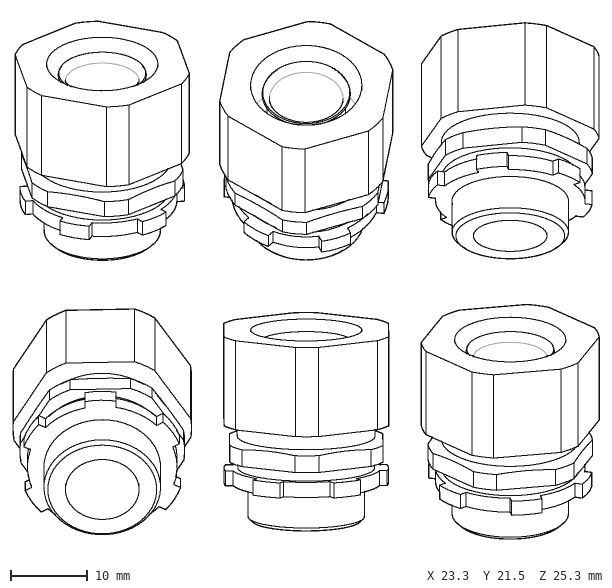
import cadquery as cq
import math


total_height = 25.3
crown_bottom = 5.0
crown_top = 7.0
nut_bottom = 8.5
nut_top = 11.2
head_bottom = 13.45

thread_radius = 15.2 / 2
thread_chamfer = 0.5
collar_radius = 17.85 / 2
neck_radius = 18.0 / 2

head_across_flats = 21.5
head_corner_radius = 11.647
nut_across_flats = 20.0
nut_corner_radius = 10.75
nut_bevel_angle = 15.0

crown_root_radius = 9.75
crown_tooth_radius = 10.73
crown_tooth_width = 4.05
crown_tooth_count = 6
crown_first_tooth_angle = 30.0

bore_radius = 9.6 / 2
sleeve_wall = 0.3
flare_radius = 1.18
flare_angle = 75.0
lip_depth = 1.35
cavity_radius = 14.5 / 2
cavity_depth = 8.0
sleeve_outer_radius = bore_radius + sleeve_wall


def cylinder(radius, bottom, top):
    """Cylinder on the Z axis between two heights."""
    return cq.Workplane("XY").workplane(offset=bottom).circle(radius).extrude(top - bottom)


def rounded_hexagon(across_flats, corner_radius, bottom, top):
    """Hexagonal prism with flats facing +Y and -Y and its corners turned to a cylinder."""
    across_corners = across_flats / math.cos(math.radians(30))
    prism = cq.Workplane("XY").workplane(offset=bottom).polygon(6, across_corners).extrude(top - bottom)
    return prism.intersect(cylinder(corner_radius, bottom, top))


def threaded_end():
    """Plain thread cylinder with a chamfered entry edge."""
    return cylinder(thread_radius, 0, crown_bottom).faces("<Z").edges().chamfer(thread_chamfer)


def crown():
    """Ring with evenly spaced, parallel-sided teeth."""
    ring = cylinder(crown_root_radius, crown_bottom, crown_top)
    teeth_limit = cylinder(crown_tooth_radius, crown_bottom, crown_top)
    for index in range(crown_tooth_count):
        angle = crown_first_tooth_angle + index * 360 / crown_tooth_count
        tooth = (
            cq.Workplane("XY")
            .workplane(offset=crown_bottom)
            .rect(2 * crown_tooth_radius, crown_tooth_width)
            .extrude(crown_top - crown_bottom)
            .rotate((0, 0, 0), (0, 0, 1), angle)
        )
        ring = ring.union(tooth.intersect(teeth_limit))
    return ring


def nut():
    """Thin hexagon whose top is turned down by a shallow cone starting at the neck."""
    bevel_drop = (nut_corner_radius - neck_radius) * math.tan(math.radians(nut_bevel_angle))
    bevel_limit = (
        cq.Workplane("XZ")
        .moveTo(0, nut_bottom)
        .lineTo(nut_corner_radius, nut_bottom)
        .lineTo(nut_corner_radius, nut_top - bevel_drop)
        .lineTo(neck_radius, nut_top)
        .lineTo(0, nut_top)
        .close()
        .revolve(360, (0, 0, 0), (0, 1, 0))
    )
    return rounded_hexagon(nut_across_flats, nut_corner_radius, nut_bottom, nut_top).intersect(bevel_limit)


def bore_and_cavity():
    """Through bore joined to the head cavity, leaving a sleeve that flares outward at its lip."""
    flare_center_radius = bore_radius + flare_radius
    flare_start = total_height - lip_depth - flare_radius * math.sin(math.radians(flare_angle))
    outer_flare_radius = flare_radius - sleeve_wall

    def flare_point(radius, angle):
        """Point on a flare arc, swept up and outward from the sleeve wall."""
        turn = math.radians(angle)
        return (flare_center_radius - radius * math.cos(turn), flare_start + radius * math.sin(turn))

    floor_radius = (cavity_radius - sleeve_outer_radius) / 2
    floor_bottom = total_height - cavity_depth
    floor_edge = floor_bottom + floor_radius
    return (
        cq.Workplane("XZ")
        .lineTo(bore_radius, 0)
        .lineTo(bore_radius, flare_start)
        .threePointArc(flare_point(flare_radius, flare_angle / 2), flare_point(flare_radius, flare_angle))
        .lineTo(*flare_point(outer_flare_radius, flare_angle))
        .threePointArc(flare_point(outer_flare_radius, flare_angle / 2), (sleeve_outer_radius, flare_start))
        .lineTo(sleeve_outer_radius, floor_edge)
        .threePointArc((sleeve_outer_radius + floor_radius, floor_bottom), (cavity_radius, floor_edge))
        .lineTo(cavity_radius, total_height)
        .lineTo(0, total_height)
        .close()
        .revolve(360, (0, 0, 0), (0, 1, 0))
    )


body = threaded_end()
body = body.union(crown())
body = body.union(cylinder(collar_radius, crown_top, nut_bottom))
body = body.union(nut())
body = body.union(cylinder(neck_radius, nut_top, head_bottom))
body = body.union(rounded_hexagon(head_across_flats, head_corner_radius, head_bottom, total_height))

result = body.cut(bore_and_cavity())